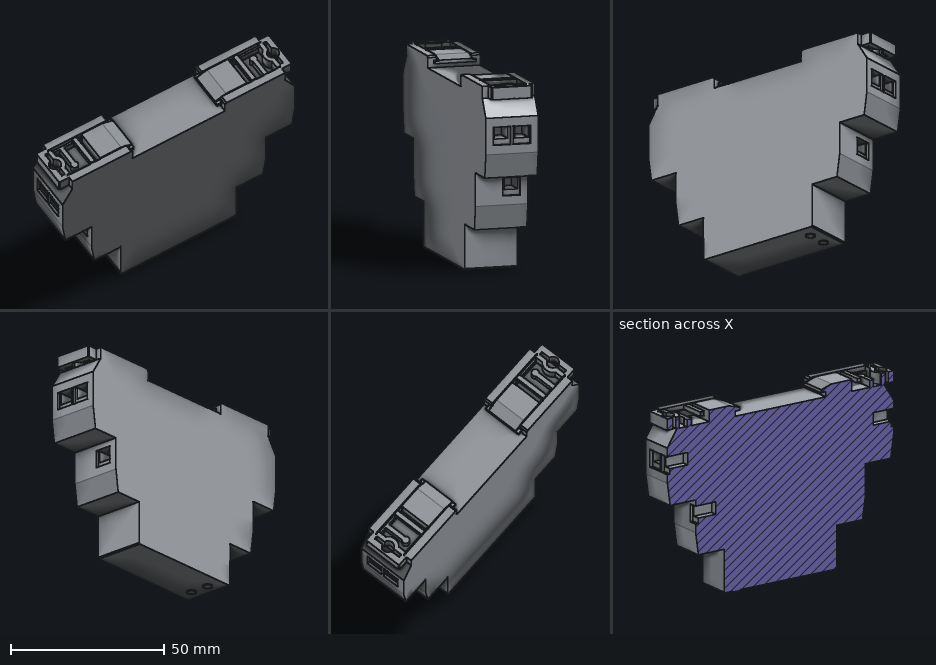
import cadquery as cq
import math

WIDTH = 18.0
HEIGHT = 64.0
FOOT_HALF = 22.4
FOOT_HEIGHT = 15.0
FOOT_CHAMFER = 0.4
MIDDLE_HALF = 33.8
MIDDLE_HEIGHT = 34.0
UPPER_HALF = 45.0
TAPER_HEIGHT = 8.0
TAPER_INSET = TAPER_HEIGHT * math.tan(math.radians(8.0))
SHOULDER_HEIGHT = 54.0
DECK_HEIGHT = 60.0
RAIL_OUTER = 41.2
RAIL_INNER = 17.85
RAIL_CHAMFER = 0.6

CHANNEL_HALF = 6.0
CLIP_HALF = 5.75
FLANGE_HALF = 7.0
OPENING_HALF = 5.2
FLANGE_TOP = 62.4
TAB_BOTTOM = 61.6
TAB_END = 16.1
TAB_TIP_TOP = 62.7
PLATE_START = 20.3
OPENING_INNER = 28.4
OPENING_OUTER = 40.0
BAR_INNER = 30.3
BAR_OUTER = 32.0
BLOCK_BEVEL = 0.4
TONGUE_Y = 36.2
TONGUE_WIDTH = 1.65
TONGUE_TIP_DIAMETER = 2.5
TONGUE_TIP_X = -2.55
EYE_Y = 42.2
EYE_DIAMETER = 4.0
EYE_WALL_DIAMETER = 7.1
SLOT_LENGTH = 10.2
SLOT_WIDTH = 1.1

WINDOW_SIZE = 6.0
WINDOW_DEPTH = 1.0
WINDOW_X = 3.4
UPPER_WINDOW_TOP = 50.9
LOWER_WINDOW_TOP = 31.9
WIRE_WIDTH = 4.7
WIRE_HEIGHT = 4.1
WIRE_X = 3.5
WIRE_DEPTH = 8.0

PAD_DIAMETER = 3.1
PAD_HEIGHT = 0.3
PAD_X = 3.5
PAD_Y = 17.5


def box(x_range, y_range, z_range):
    """Box given by its lower and upper limit along each axis."""
    limits = (x_range, y_range, z_range)
    size = [high - low for low, high in limits]
    corner = [low for low, high in limits]
    return cq.Workplane("XY").box(*size, centered=False).translate(tuple(corner))


def centred_box(half_width, y_range, z_range):
    """Box that is symmetric about the plane X = 0."""
    return box((-half_width, half_width), y_range, z_range)


def upright_cylinder(x, y, diameter, bottom, top):
    disc = cq.Workplane("XY", origin=(x, y, bottom)).circle(diameter / 2)
    return disc.extrude(top - bottom)


def both_ends(shape):
    """The shape together with its copy turned half a revolution about Z."""
    return [shape, shape.rotate((0, 0, 0), (0, 0, 1), 180)]


def housing():
    half_outline = [
        (FOOT_HALF - FOOT_CHAMFER, 0),
        (FOOT_HALF, FOOT_CHAMFER),
        (FOOT_HALF, FOOT_HEIGHT),
        (MIDDLE_HALF - TAPER_INSET, FOOT_HEIGHT),
        (MIDDLE_HALF, FOOT_HEIGHT + TAPER_HEIGHT),
        (MIDDLE_HALF, MIDDLE_HEIGHT),
        (UPPER_HALF - TAPER_INSET, MIDDLE_HEIGHT),
        (UPPER_HALF, MIDDLE_HEIGHT + TAPER_HEIGHT),
        (UPPER_HALF, SHOULDER_HEIGHT),
        (RAIL_OUTER, DECK_HEIGHT),
        (RAIL_OUTER, HEIGHT),
        (RAIL_INNER + RAIL_CHAMFER, HEIGHT),
        (RAIL_INNER, HEIGHT - RAIL_CHAMFER),
        (RAIL_INNER, DECK_HEIGHT),
    ]
    mirrored = [(-y, z) for y, z in reversed(half_outline)]
    outline = cq.Workplane("YZ").polyline(half_outline + mirrored).close()
    return outline.extrude(WIDTH / 2, both=True)


def rail_channel():
    """Space between the side rails, open at both ends."""
    return centred_box(CHANNEL_HALF, (RAIL_INNER, RAIL_OUTER), (DECK_HEIGHT, HEIGHT))


def clip_end_block():
    """Outer block of the clip with its cable-tie eye and slot."""
    clip_levels = (DECK_HEIGHT, HEIGHT)
    block = centred_box(FLANGE_HALF, (RAIL_OUTER, UPPER_HALF), clip_levels)
    block = block.edges("|Z and >Y").chamfer(BLOCK_BEVEL)
    block = block.union(centred_box(CLIP_HALF, (OPENING_OUTER, RAIL_OUTER), clip_levels))
    eye_wall = upright_cylinder(0, EYE_Y, EYE_WALL_DIAMETER, *clip_levels)
    eye_wall = eye_wall.intersect(rail_channel())
    block = block.union(eye_wall)
    slot_sides = (EYE_Y - SLOT_WIDTH / 2, EYE_Y + SLOT_WIDTH / 2)
    block = block.cut(upright_cylinder(0, EYE_Y, EYE_DIAMETER, *clip_levels))
    return block.cut(centred_box(SLOT_LENGTH / 2, slot_sides, clip_levels))


def clip_plate():
    """Plate with a sloping nose that overhangs the deck as a tab."""
    profile = [
        (OPENING_INNER, DECK_HEIGHT),
        (OPENING_INNER, HEIGHT),
        (PLATE_START, HEIGHT),
        (TAB_END, TAB_TIP_TOP),
        (TAB_END, TAB_BOTTOM),
        (RAIL_INNER, TAB_BOTTOM),
        (RAIL_INNER, DECK_HEIGHT),
    ]
    plate = cq.Workplane("YZ").polyline(profile).close().extrude(CLIP_HALF, both=True)
    flange = centred_box(FLANGE_HALF, (TAB_END, RAIL_INNER), (TAB_BOTTOM, FLANGE_TOP))
    return plate.union(flange)


def clip_opening():
    """Side strips, raised crossbar and keyhole tongue around the clip opening."""
    strip_levels = (DECK_HEIGHT, FLANGE_TOP)
    frame = centred_box(CHANNEL_HALF, (RAIL_INNER, OPENING_OUTER), strip_levels)
    frame = frame.cut(centred_box(OPENING_HALF, (RAIL_INNER, OPENING_OUTER), strip_levels))
    bar = centred_box(CLIP_HALF, (BAR_INNER, BAR_OUTER), (FLANGE_TOP, HEIGHT))
    tongue_sides = (TONGUE_Y - TONGUE_WIDTH / 2, TONGUE_Y + TONGUE_WIDTH / 2)
    tongue = box((TONGUE_TIP_X, OPENING_HALF), tongue_sides, strip_levels)
    tip = upright_cylinder(TONGUE_TIP_X, TONGUE_Y, TONGUE_TIP_DIAMETER, *strip_levels)
    return frame.union(bar).union(tongue).union(tip)


def terminal_window(side, face, top):
    """Shallow square window with a deeper wire entry flush with its top edge, in a -Y face."""
    centre = side * WINDOW_X
    x_range = (centre - WINDOW_SIZE / 2, centre + WINDOW_SIZE / 2)
    window = box(x_range, (-face, -face + WINDOW_DEPTH), (top - WINDOW_SIZE, top))
    centre = side * WIRE_X
    x_range = (centre - WIRE_WIDTH / 2, centre + WIRE_WIDTH / 2)
    entry = box(x_range, (-face, -face + WIRE_DEPTH), (top - WIRE_HEIGHT, top))
    return window.union(entry)


result = housing()

for channel in both_ends(rail_channel()):
    result = result.cut(channel)

for clip_part in (clip_end_block(), clip_plate(), clip_opening()):
    for copy in both_ends(clip_part):
        result = result.union(copy)

terminals = [
    terminal_window(-1, UPPER_HALF, UPPER_WINDOW_TOP),
    terminal_window(1, UPPER_HALF, UPPER_WINDOW_TOP),
    terminal_window(1, MIDDLE_HALF, LOWER_WINDOW_TOP),
]
for terminal in terminals:
    for copy in both_ends(terminal):
        result = result.cut(copy)

for side in (-1, 1):
    result = result.union(upright_cylinder(side * PAD_X, PAD_Y, PAD_DIAMETER, -PAD_HEIGHT, 0))